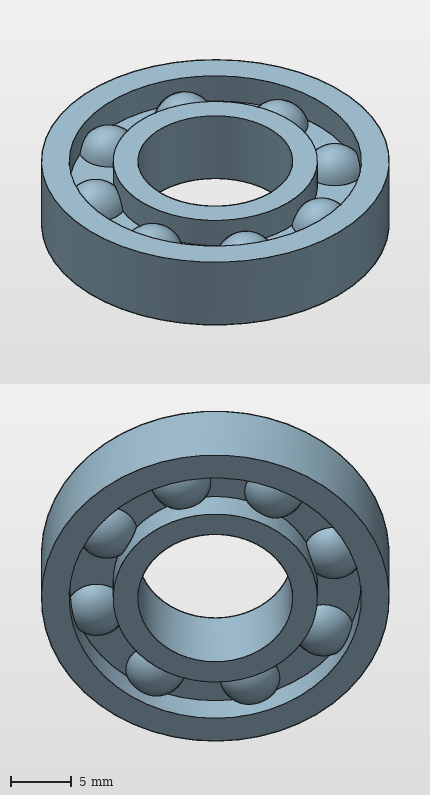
import cadquery as cq

outer_diameter = 28.57
outer_ring_bore = 24.0
inner_ring_diameter = 16.77
shaft_bore = 12.7
width = 6.35

ball_count = 8
ball_diameter = 5.09
pitch_radius = 10.15
web_thickness = 1.25


def ring(outside, inside, height):
    """Flat ring about the Z axis, centred on the XY plane."""
    profile = cq.Workplane("XY").workplane(offset=-height / 2).circle(outside / 2).circle(inside / 2)
    return profile.extrude(height)


outer_ring = ring(outer_diameter, outer_ring_bore, width)
inner_ring = ring(inner_ring_diameter, shaft_bore, width)
web = ring(outer_ring_bore, inner_ring_diameter, web_thickness)

balls = (
    cq.Workplane("XY")
    .polarArray(pitch_radius, 0, 360, ball_count)
    .sphere(ball_diameter / 2)
)

result = outer_ring.union(inner_ring).union(web).union(balls)